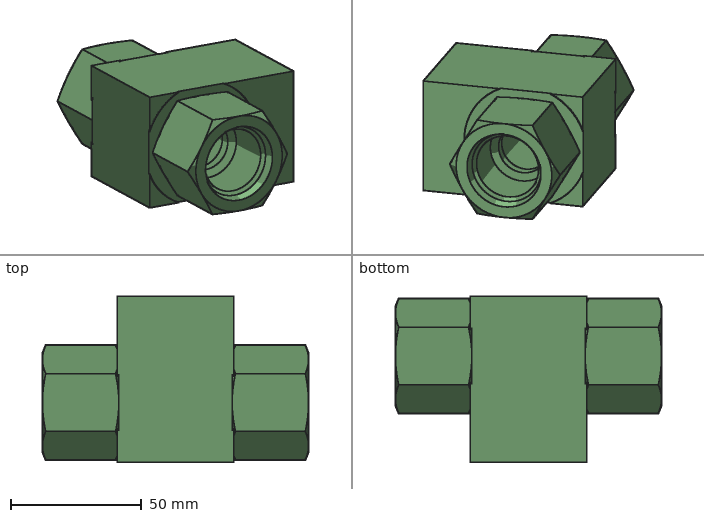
import cadquery as cq
import math

OVERALL_LENGTH = 101.6

BLOCK_WIDTH = 44.5
BLOCK_DEPTH = 63.5
BLOCK_HEIGHT = BLOCK_WIDTH
AXIS_TO_FRONT = 22.9
SPOTFACE_DIAMETER = 48.8
SPOTFACE_DEPTH = 0.6
BORE_DIAMETER = 19.1

HEX_ACROSS_FLATS = 38.1
HEX_ACROSS_CORNERS = HEX_ACROSS_FLATS / math.cos(math.radians(30))
HEX_CHAMFER_LENGTH = 1.2
SEAT_X = BLOCK_WIDTH / 2 - SPOTFACE_DEPTH
HEX_LENGTH = OVERALL_LENGTH / 2 - SEAT_X

MOUTH_DIAMETER = 29.5
MOUTH_TAPER_END_DIAMETER = 27.4
MOUTH_TAPER_DEPTH = 3.5
THREAD_DIAMETER = 24.7
LEAD_IN_DEPTH = (MOUTH_TAPER_END_DIAMETER - THREAD_DIAMETER) / 2
THREAD_END_DEPTH = 23.4
DRILL_POINT_ANGLE = 118.0


def make_block():
    """Solid block with a spotface on both X sides and a through bore."""
    block = cq.Workplane("XY").box(BLOCK_WIDTH, BLOCK_DEPTH, BLOCK_HEIGHT)
    block = block.translate((0, BLOCK_DEPTH / 2 - AXIS_TO_FRONT, 0))
    bore = cq.Workplane("YZ").circle(BORE_DIAMETER / 2).extrude(BLOCK_WIDTH / 2, both=True)
    block = block.cut(bore)
    seat_plane = cq.Workplane("YZ").workplane(offset=SEAT_X)
    spotface = seat_plane.circle(SPOTFACE_DIAMETER / 2).extrude(SPOTFACE_DEPTH)
    return block.cut(spotface).cut(spotface.mirror("YZ"))


def chamfer_envelope():
    """Turned blank that cuts the hexagon's corners back at both ends."""
    end_radius = HEX_ACROSS_FLATS / 2
    corner_radius = HEX_ACROSS_CORNERS / 2
    profile = [
        (0, 0),
        (0, end_radius),
        (HEX_CHAMFER_LENGTH, corner_radius),
        (HEX_LENGTH - HEX_CHAMFER_LENGTH, corner_radius),
        (HEX_LENGTH, end_radius),
        (HEX_LENGTH, 0),
    ]
    return cq.Workplane("XY").polyline(profile).close().revolve(360, (0, 0, 0), (1, 0, 0))


def port_cavity():
    """Stepped cavity along X from the seated end: bore, drill point, thread bore, lead-in, mouth."""
    half_point_angle = math.radians(DRILL_POINT_ANGLE / 2)
    drill_point_depth = (THREAD_DIAMETER - BORE_DIAMETER) / 2 / math.tan(half_point_angle)
    thread_start = HEX_LENGTH - MOUTH_TAPER_DEPTH - LEAD_IN_DEPTH
    thread_end = HEX_LENGTH - THREAD_END_DEPTH
    profile = [
        (0, 0),
        (0, BORE_DIAMETER / 2),
        (thread_end - drill_point_depth, BORE_DIAMETER / 2),
        (thread_end, THREAD_DIAMETER / 2),
        (thread_start, THREAD_DIAMETER / 2),
        (HEX_LENGTH - MOUTH_TAPER_DEPTH, MOUTH_TAPER_END_DIAMETER / 2),
        (HEX_LENGTH, MOUTH_DIAMETER / 2),
        (HEX_LENGTH, 0),
    ]
    return cq.Workplane("XY").polyline(profile).close().revolve(360, (0, 0, 0), (1, 0, 0))


def make_fitting(turn):
    """Fitting seated in a spotface; turn is its angle about Z, 0 for +X and 180 for -X."""
    hexagon = cq.Workplane("YZ").polygon(6, HEX_ACROSS_CORNERS).extrude(HEX_LENGTH)
    fitting = hexagon.intersect(chamfer_envelope()).cut(port_cavity())
    return fitting.translate((SEAT_X, 0, 0)).rotate((0, 0, 0), (0, 0, 1), turn)


block = make_block()
fittings = [make_fitting(turn) for turn in (0, 180)]

result = cq.Compound.makeCompound([block.val(), *[fitting.val() for fitting in fittings]])